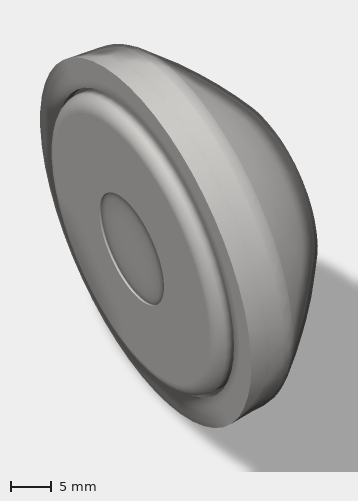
import cadquery as cq
import math

rim_radius = 24.5
total_depth = 20.0
pad_radius = 40.0 / 2
pad_height = 2.0
pad_edge_radius = 1.95
seat_radius = 41.0 / 2
seat_depth = 1.0
recess_radius = 15.0 / 2
recess_depth = 0.3

rim_draft = 5.0
rim_height = 6.0
crown_radius = 11.0
dome_bulge = 0.65
shoulder_round = 2.95
crown_round = 2.95

crown_y = total_depth - pad_height
shoulder_radius = rim_radius - rim_height * math.tan(math.radians(rim_draft))


def disc(radius, start_y, end_y):
    """Cylinder on the Y axis from start_y to end_y."""
    return (
        cq.Workplane("XZ", origin=(0, end_y, 0))
        .circle(radius)
        .extrude(end_y - start_y)
    )


def domed_body():
    """Drafted rim and convex dome with rounded shoulder and crown."""
    drop_x = shoulder_radius - crown_radius
    rise_y = crown_y - rim_height
    chord = math.hypot(drop_x, rise_y)
    arc_middle = (
        (shoulder_radius + crown_radius) / 2 + dome_bulge * rise_y / chord,
        (rim_height + crown_y) / 2 + dome_bulge * drop_x / chord,
    )
    body = (
        cq.Workplane("XY")
        .lineTo(rim_radius, 0)
        .lineTo(shoulder_radius, rim_height)
        .threePointArc(arc_middle, (crown_radius, crown_y))
        .lineTo(0, crown_y)
        .close()
        .revolve(360, (0, 0), (0, 1))
    )
    body = body.faces(">Y").edges().fillet(crown_round)
    shoulder = cq.selectors.BoxSelector(
        (-rim_radius, rim_height / 2, -rim_radius),
        (rim_radius, crown_y / 2, rim_radius),
    )
    return body.edges("%CIRCLE").edges(shoulder).fillet(shoulder_round)


def pad():
    """Round pad seated in the body, with a rounded front edge and a shallow recess."""
    block = disc(pad_radius, -pad_height, seat_depth)
    block = block.faces("<Y").edges().fillet(pad_edge_radius)
    return block.cut(disc(recess_radius, -pad_height, recess_depth - pad_height))


result = domed_body().cut(disc(seat_radius, 0, seat_depth)).union(pad())